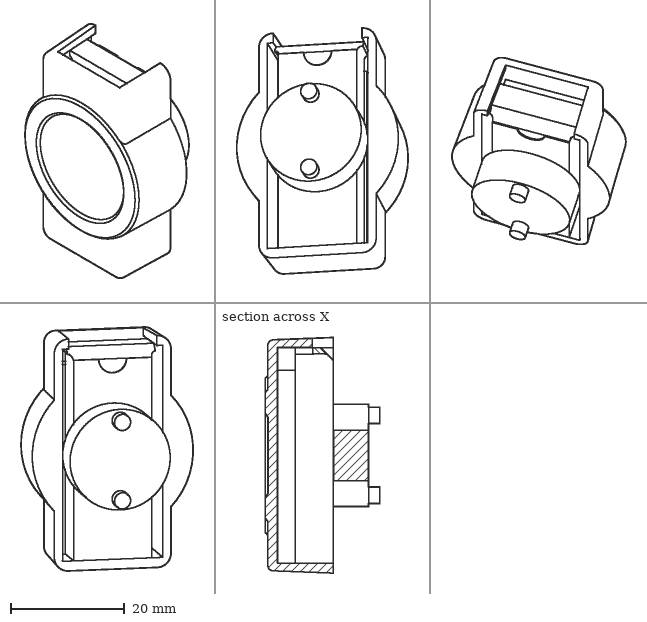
import cadquery as cq
import math


draft_angle = 2.2
bar_width = 21.0
bar_length = 41.5
bar_depth = 11.58
bar_corner_radius = 2.5
bar_front_fillet = 1.0
disc_radius = 14.5
disc_depth = 12.05
rim_chamfer = 0.5
recess_radius = 10.25
recess_depth = 0.5

side_wall = 1.5
end_wall = 1.8
cavity_depth = 9.85
cavity_width = bar_width - 2 * side_wall
cavity_length = bar_length - 2 * end_wall
window_width = 15.9

head_width = window_width
head_height = 1.15
neck_width = 14.1
neck_fillet = (head_width - neck_width) / 2
slider_depth = 6.72
slider_top = cavity_length / 2
slider_bevel = 2.08
ledge_top = slider_top - slider_bevel
ledge_depth = 0.2
thumb_radius = 2.5
tongue_width = 15.15
tongue_top = 14.95

base_radius = 9.0
base_height = 6.2
pin_radius = 1.45
pin_length = 2.0
pin_offset = 7.0


def back_plane(y=0.0):
    """Sketch plane facing the front, with local x along X and local y along Z."""
    return cq.Workplane("XZ", origin=(0, y, 0))


def make_bar():
    outline = cq.Sketch().rect(bar_width, bar_length).vertices().fillet(bar_corner_radius)
    bar = back_plane().placeSketch(outline).extrude(bar_depth, taper=draft_angle)
    return bar.faces("<Y").edges().fillet(bar_front_fillet)


def make_disc():
    """Drafted disc with a 45 degree chamfer around its front rim."""
    chamfer_start = disc_depth - rim_chamfer
    rim_radius = disc_radius - chamfer_start * math.tan(math.radians(draft_angle))
    profile = [
        (0, 0),
        (disc_radius, 0),
        (rim_radius, -chamfer_start),
        (rim_radius - rim_chamfer, -disc_depth),
        (0, -disc_depth),
    ]
    return cq.Workplane("XY").polyline(profile).close().revolve(360, (0, 0), (0, 1))


def make_recess():
    """Round dish in the disc face, its wall flaring out at 45 degrees."""
    floor = back_plane(recess_depth - disc_depth).circle(recess_radius)
    return floor.extrude(recess_depth, taper=-45)


def make_cavity():
    return back_plane().rect(cavity_width, cavity_length).extrude(cavity_depth)


def drafted_prism(width, depth, bottom, height):
    """Upright prism with its back in the plane Y = 0 and sides that narrow towards the front."""
    back_half = width / 2
    front_half = back_half - depth * math.tan(math.radians(draft_angle))
    outline = [
        (-back_half, 0),
        (back_half, 0),
        (front_half, -depth),
        (-front_half, -depth),
    ]
    return cq.Workplane("XY", origin=(0, 0, bottom)).polyline(outline).close().extrude(height)


def make_window():
    """Opening through the upper end wall, open towards the back."""
    return drafted_prism(window_width, cavity_depth, cavity_length / 2, end_wall)


def make_housing():
    housing = make_bar().union(make_disc())
    return housing.cut(make_recess()).cut(make_cavity()).cut(make_window())


def make_slider():
    slider = make_slider_bar().union(make_tongue())
    return slider.cut(make_slider_bevel()).cut(make_thumb_recess())


def make_slider_bar():
    """T-shaped bar: a short wide head joined to a long neck by concave fillets."""
    head_bottom = slider_top - head_height
    head = drafted_prism(head_width, slider_depth, head_bottom, head_height)
    neck_height = head_bottom + slider_top
    neck = drafted_prism(head_width, slider_depth, -slider_top, neck_height)
    for side in (-1, 1):
        neck = neck.cut(make_neck_relief(side))
    return head.union(neck)


def make_neck_relief(side):
    """Waste beside the neck, with a rounded upper end that leaves the fillet under the head."""
    neck_top = slider_top - head_height - neck_fillet
    reach = neck_top + slider_top
    centre_x = side * head_width / 2
    straight = back_plane().center(centre_x, neck_top - reach / 2).rect(2 * neck_fillet, reach)
    rounded_end = back_plane().center(centre_x, neck_top).circle(neck_fillet)
    return straight.extrude(slider_depth).union(rounded_end.extrude(slider_depth))


def make_tongue():
    """Lower step along the front of the slider, reaching the cavity floor."""
    thickness = cavity_depth - slider_depth
    height = slider_top + tongue_top
    tongue = cq.Workplane("XY", origin=(0, -cavity_depth, -slider_top))
    return tongue.box(tongue_width, thickness, height, centered=(True, False, False))


def make_slider_bevel():
    """Waste above the 45 degree bevel and the narrow ledge behind it."""
    outline = [
        (-ledge_depth - slider_bevel, slider_top),
        (-ledge_depth, ledge_top),
        (0, ledge_top),
        (0, slider_top),
    ]
    return cq.Workplane("YZ").polyline(outline).close().extrude(head_width / 2, both=True)


def make_thumb_recess():
    return back_plane().center(0, ledge_top).circle(thumb_radius).extrude(ledge_depth)


def make_base():
    base = back_plane().circle(base_radius).extrude(-base_height)
    pins = (
        back_plane(base_height)
        .pushPoints([(0, pin_offset), (0, -pin_offset)])
        .circle(pin_radius)
        .extrude(-pin_length)
    )
    return base.union(pins)


housing = make_housing()
slider = make_slider()
base = make_base()

result = cq.Compound.makeCompound([body.solids().val() for body in (housing, slider, base)])